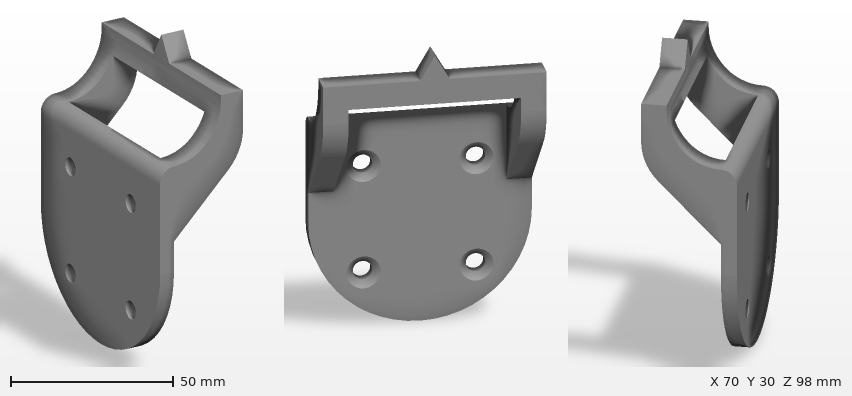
import cadquery as cq
import math

WIDTH = 70.0
DEPTH = 30.0
PLATE_THICKNESS = 5.0
END_RADIUS = WIDTH / 2
BRACE_START_Z = 10.0
BAR_TOP_Z = 55.0
BAR_THICKNESS = 8.0
PLATE_TOP_Z = 35.0
CRADLE_LOWER_RADIUS = 16.0
BACK_RADIUS = 18.0
TOP_EDGE_RADIUS = 5.0
CHEEK_WIDTH = 8.0
WINDOW_TOP_DROP = 8.0
HOLE_DIAMETER = 6.0
COUNTERSINK_DIAMETER = 10.6
COUNTERSINK_DEPTH = 2.0
HOLE_CIRCLE_RADIUS = 25.0
POINTER_HEIGHT = 8.0
POINTER_ANGLE = 60.0


def polar(center, radius, degrees):
    angle = math.radians(degrees)
    return (center[0] + radius * math.cos(angle), center[1] + radius * math.sin(angle))


def make_side_profile_body():
    """Extrude the Y-Z side profile across the full width."""
    bar_front_y = DEPTH - BAR_THICKNESS
    diagonal = math.sqrt(0.5)

    lower_center = (TOP_EDGE_RADIUS, PLATE_TOP_Z + CRADLE_LOWER_RADIUS)
    join_point = polar(lower_center, CRADLE_LOWER_RADIUS, -45)
    upper_radius = (bar_front_y - join_point[0]) / (1 - diagonal)
    upper_center = (bar_front_y - upper_radius, join_point[1] + upper_radius * diagonal)
    rounding_center = (TOP_EDGE_RADIUS, PLATE_TOP_Z - TOP_EDGE_RADIUS)

    back_corner_z = BRACE_START_Z + DEPTH - PLATE_THICKNESS
    tangent_length = BACK_RADIUS * math.tan(math.radians(45 / 2))
    back_center = (DEPTH - BACK_RADIUS, back_corner_z + tangent_length)

    return (
        cq.Workplane("YZ")
        .moveTo(0, -END_RADIUS)
        .lineTo(PLATE_THICKNESS, -END_RADIUS)
        .lineTo(PLATE_THICKNESS, BRACE_START_Z)
        .lineTo(*polar(back_center, BACK_RADIUS, -45))
        .threePointArc(polar(back_center, BACK_RADIUS, -45 / 2), (DEPTH, back_center[1]))
        .lineTo(DEPTH, BAR_TOP_Z)
        .lineTo(bar_front_y, BAR_TOP_Z)
        .lineTo(bar_front_y, upper_center[1])
        .threePointArc(polar(upper_center, upper_radius, -45 / 2), join_point)
        .threePointArc(
            polar(lower_center, CRADLE_LOWER_RADIUS, -135 / 2), (TOP_EDGE_RADIUS, PLATE_TOP_Z)
        )
        .threePointArc(polar(rounding_center, TOP_EDGE_RADIUS, 135), (0, rounding_center[1]))
        .close()
        .extrude(WIDTH / 2, both=True)
    )


def make_front_outline():
    """Straight-sided outline with a half-round lower end, as deep as the part."""
    return (
        cq.Workplane("XZ")
        .moveTo(-WIDTH / 2, BAR_TOP_Z)
        .lineTo(-WIDTH / 2, 0)
        .threePointArc((0, -END_RADIUS), (WIDTH / 2, 0))
        .lineTo(WIDTH / 2, BAR_TOP_Z)
        .close()
        .extrude(-DEPTH)
    )


def make_window():
    """Opening between the cheeks, behind the plate and below the bar."""
    height = BAR_TOP_Z - WINDOW_TOP_DROP - BRACE_START_Z
    return cq.Workplane("XY").box(
        WIDTH - 2 * CHEEK_WIDTH, DEPTH - PLATE_THICKNESS, height, centered=(True, False, False)
    ).translate((0, PLATE_THICKNESS, BRACE_START_Z))


def make_hole():
    """Through hole at the origin, countersunk from the back of the plate."""
    hole_radius = HOLE_DIAMETER / 2
    floor_y = PLATE_THICKNESS - COUNTERSINK_DEPTH
    return (
        cq.Workplane("XY")
        .moveTo(0, 0)
        .lineTo(hole_radius, 0)
        .lineTo(hole_radius, floor_y)
        .lineTo(COUNTERSINK_DIAMETER / 2, PLATE_THICKNESS)
        .lineTo(0, PLATE_THICKNESS)
        .close()
        .revolve(360, (0, 0, 0), (0, 1, 0))
    )


def cut_holes(body):
    """Cut four holes on a common circle, on its diagonals."""
    hole = make_hole()
    for angle in (45, 135, 225, 315):
        x, z = polar((0, 0), HOLE_CIRCLE_RADIUS, angle)
        body = body.cut(hole.translate((x, 0, z)))
    return body


def make_pointer():
    """Triangular pointer on top of the bar, as thick as the bar."""
    half_width = POINTER_HEIGHT * math.tan(math.radians(POINTER_ANGLE / 2))
    return (
        cq.Workplane("XZ", origin=(0, DEPTH, 0))
        .moveTo(-half_width, BAR_TOP_Z)
        .lineTo(half_width, BAR_TOP_Z)
        .lineTo(0, BAR_TOP_Z + POINTER_HEIGHT)
        .close()
        .extrude(BAR_THICKNESS)
    )


body = make_side_profile_body().intersect(make_front_outline()).cut(make_window())
result = cut_holes(body).union(make_pointer())